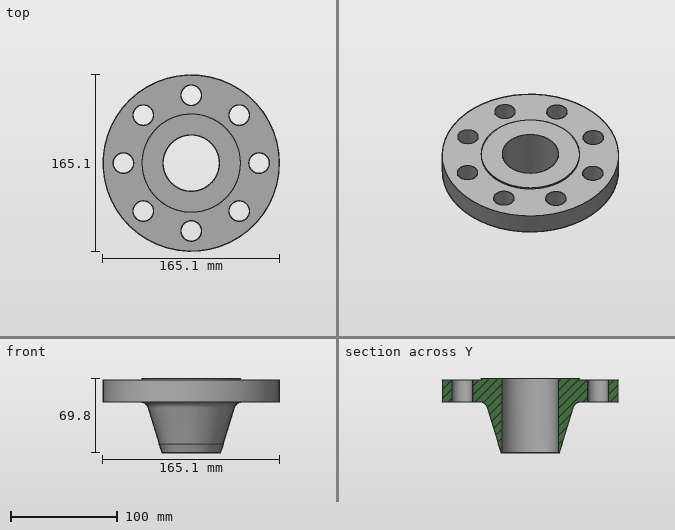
import cadquery as cq

flange_diameter = 165.1
total_height = 69.8
bore_diameter = 52.5

face_diameter = 92.0
face_height = 1.5
flange_thickness = 20.8

bolt_count = 8
bolt_circle_diameter = 127.0
bolt_hole_diameter = 19.0

neck_base_diameter = 83.9
weld_end_diameter = 60.3
weld_tip_diameter = 54.5
bevel_height = 8.3
land_height = 1.0
neck_fillet_radius = 7.5

flange_top = total_height - face_height
flange_bottom = flange_top - flange_thickness
taper_start = bevel_height + land_height


def make_neck():
    """Revolved neck: weld bevel, short cylindrical land, then a taper up to the flange."""
    return (
        cq.Workplane("XZ")
        .lineTo(weld_tip_diameter / 2, 0)
        .lineTo(weld_end_diameter / 2, bevel_height)
        .lineTo(weld_end_diameter / 2, taper_start)
        .lineTo(neck_base_diameter / 2, flange_bottom)
        .lineTo(0, flange_bottom)
        .close()
        .revolve(360, (0, 0, 0), (0, 1, 0))
    )


def make_flange():
    """Round flange plate."""
    return cq.Workplane("XY", origin=(0, 0, flange_bottom)).circle(flange_diameter / 2).extrude(flange_thickness)


def make_raised_face():
    """Thin disc on top of the flange."""
    return cq.Workplane("XY", origin=(0, 0, flange_top)).circle(face_diameter / 2).extrude(face_height)


flange_underside = cq.selectors.NearestToPointSelector((0, 0, flange_bottom))
neck_corner = cq.selectors.RadiusNthSelector(0)
body = make_flange().union(make_neck())
body = body.faces(flange_underside).edges("%CIRCLE").edges(neck_corner).fillet(neck_fillet_radius)
body = body.union(make_raised_face())

bore = cq.Workplane("XY").circle(bore_diameter / 2).extrude(total_height)
bolt_holes = (
    cq.Workplane("XY", origin=(0, 0, flange_bottom))
    .polarArray(bolt_circle_diameter / 2, 0, 360, bolt_count)
    .circle(bolt_hole_diameter / 2)
    .extrude(flange_thickness)
)

result = body.cut(bore).cut(bolt_holes)